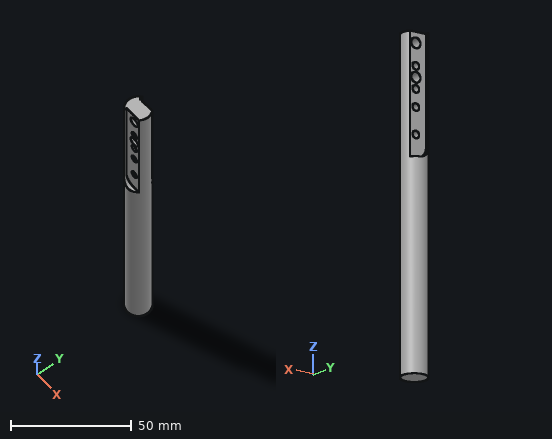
import cadquery as cq

rod_length = 150
rod_diameter = 12
rod_radius = rod_diameter / 2

tongue_thickness = 7.4
flat_length = 55.0
flat_left_x = -3.3
flat_corner_radius = 5.0
flat_bottom_z = rod_length - flat_length

hole_x = 1.8
large_hole_diameter = 4.6
small_hole_diameter = 3.3
large_hole_depths = [5.0, 20.0]
small_hole_depths = [15, 25.0, 33, 45]


def flat_cutter(side):
    """Block that cuts one flat on the +Y (side = 1) or -Y (side = -1) face."""
    width = rod_radius - flat_left_x
    depth = rod_radius - tongue_thickness / 2
    block = cq.Workplane("XY").box(width, depth, flat_length, centered=(False, True, False))
    block = block.edges("<X and <Z").fillet(flat_corner_radius)
    center_y = side * (tongue_thickness + depth) / 2
    return block.translate((flat_left_x, center_y, flat_bottom_z))


def cross_holes(diameter, depths):
    """Cylinders along Y that pass through the whole rod."""
    centers = [(hole_x, rod_length - depth) for depth in depths]
    return (
        cq.Workplane("XZ")
        .pushPoints(centers)
        .circle(diameter / 2)
        .extrude(rod_radius, both=True)
    )


result = cq.Workplane("XY").circle(rod_radius).extrude(rod_length)

for side in (-1, 1):
    result = result.cut(flat_cutter(side))

result = result.cut(cross_holes(large_hole_diameter, large_hole_depths))
result = result.cut(cross_holes(small_hole_diameter, small_hole_depths))